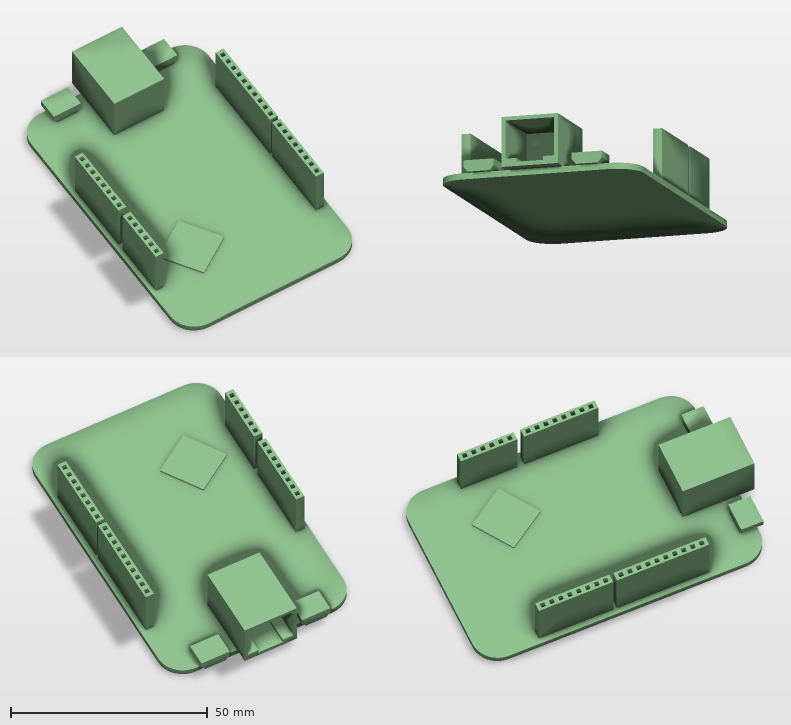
import cadquery as cq

BOARD_LENGTH = 80.0
BOARD_WIDTH = 53.3
BOARD_THICKNESS = 1.6
BOARD_CORNER_RADIUS = 7.0
BOARD_LEFT = -BOARD_LENGTH / 2

JACK_LENGTH = 20.0
JACK_WIDTH = 15.0
JACK_HEIGHT = 13.0
JACK_OVERHANG = 4.0
JACK_CENTER_Y = 0.15
JACK_WALL = 1.0
JACK_BACK_WALL = 3.0
JACK_FLOOR = 2.1
JACK_LATCH_WIDTH = 7.0
JACK_LATCH_DEPTH = 1.0

USB_LENGTH = 6.2
USB_WIDTH = 8.1
USB_BASE_WIDTH = 5.9
USB_HEIGHT = 3.0
USB_TAPER_HEIGHT = 1.3
USB_OVERHANG = 1.5
USB_CENTERS_Y = [-14.3, 14.7]

CHIP_SIZE = 12.6
CHIP_THICKNESS = 0.5
CHIP_ANGLE = 33.5
CHIP_CENTER_X = 17.1
CHIP_CENTER_Y = -10.3

HEADER_WIDTH = 2.4
HEADER_HEIGHT = 14.0
HEADER_PITCH = 2.5
HEADER_END_MARGIN = 1.6
SOCKET_SIZE = 1.2
UPPER_ROW_Y = 24.0
ROW_SPACING = 48.2
LOWER_ROW_Y = UPPER_ROW_Y - ROW_SPACING
OUTER_HEADERS_RIGHT_X = 23.95
UPPER_INNER_RIGHT_X = 2.2
LOWER_INNER_RIGHT_X = 6.36

HEADERS = [
    (8, OUTER_HEADERS_RIGHT_X, UPPER_ROW_Y),
    (10, UPPER_INNER_RIGHT_X, UPPER_ROW_Y),
    (6, OUTER_HEADERS_RIGHT_X, LOWER_ROW_Y),
    (8, LOWER_INNER_RIGHT_X, LOWER_ROW_Y),
]


def block_on(origin, length, width, height):
    """Box standing on origin, centred there in X and Y."""
    return cq.Workplane(origin=origin).box(length, width, height, centered=(True, True, False))


def block_from(origin, length, width, height):
    """Box starting at origin in X and Z, centred there in Y."""
    return cq.Workplane(origin=origin).box(length, width, height, centered=(False, True, False))


def make_plate():
    plate = block_on((0, 0, 0), BOARD_LENGTH, BOARD_WIDTH, BOARD_THICKNESS)
    return plate.edges("|Z").fillet(BOARD_CORNER_RADIUS)


def make_jack():
    """Jack shell with a plug opening in its -X face and a latch groove in the opening's floor."""
    front_x = BOARD_LEFT - JACK_OVERHANG
    floor_z = BOARD_THICKNESS + JACK_FLOOR
    opening_depth = JACK_LENGTH - JACK_BACK_WALL
    opening_width = JACK_WIDTH - 2 * JACK_WALL
    opening_height = JACK_HEIGHT - JACK_WALL - JACK_FLOOR

    shell = block_from((front_x, JACK_CENTER_Y, BOARD_THICKNESS), JACK_LENGTH, JACK_WIDTH, JACK_HEIGHT)
    opening = block_from((front_x, JACK_CENTER_Y, floor_z), opening_depth, opening_width, opening_height)
    groove_start = (front_x, JACK_CENTER_Y, floor_z - JACK_LATCH_DEPTH)
    latch_groove = block_from(groove_start, opening_depth, JACK_LATCH_WIDTH, JACK_LATCH_DEPTH)
    return shell.cut(opening).cut(latch_groove)


def make_usb(center_y):
    """USB socket whose sides taper in towards the board."""
    half_base = USB_BASE_WIDTH / 2
    half_width = USB_WIDTH / 2
    return (
        cq.Workplane("YZ", origin=(BOARD_LEFT - USB_OVERHANG, center_y, BOARD_THICKNESS))
        .moveTo(-half_base, 0)
        .lineTo(half_base, 0)
        .lineTo(half_width, USB_TAPER_HEIGHT)
        .lineTo(half_width, USB_HEIGHT)
        .lineTo(-half_width, USB_HEIGHT)
        .lineTo(-half_width, USB_TAPER_HEIGHT)
        .close()
        .extrude(USB_LENGTH)
    )


def make_chip():
    center = cq.Vector(CHIP_CENTER_X, CHIP_CENTER_Y, BOARD_THICKNESS)
    chip = block_on(center, CHIP_SIZE, CHIP_SIZE, CHIP_THICKNESS)
    return chip.rotate(center, center + cq.Vector(0, 0, 1), CHIP_ANGLE)


def make_board():
    """Board plate with the jack, the USB sockets and the chip as one solid."""
    board = make_plate().union(make_jack()).union(make_chip())
    for center_y in USB_CENTERS_Y:
        board = board.union(make_usb(center_y))
    return board


def make_header(socket_count, right_x, row_y):
    """Pin header with a row of square sockets running through its height."""
    length = (socket_count - 1) * HEADER_PITCH + 2 * HEADER_END_MARGIN
    center_x = right_x - length / 2
    return (
        block_on((center_x, row_y, BOARD_THICKNESS), length, HEADER_WIDTH, HEADER_HEIGHT)
        .faces(">Z")
        .workplane()
        .rarray(HEADER_PITCH, HEADER_WIDTH, socket_count, 1)
        .rect(SOCKET_SIZE, SOCKET_SIZE)
        .cutThruAll()
    )


board = make_board()
headers = [make_header(*header) for header in HEADERS]

result = cq.Compound.makeCompound([board.solids().val(), *[header.solids().val() for header in headers]])